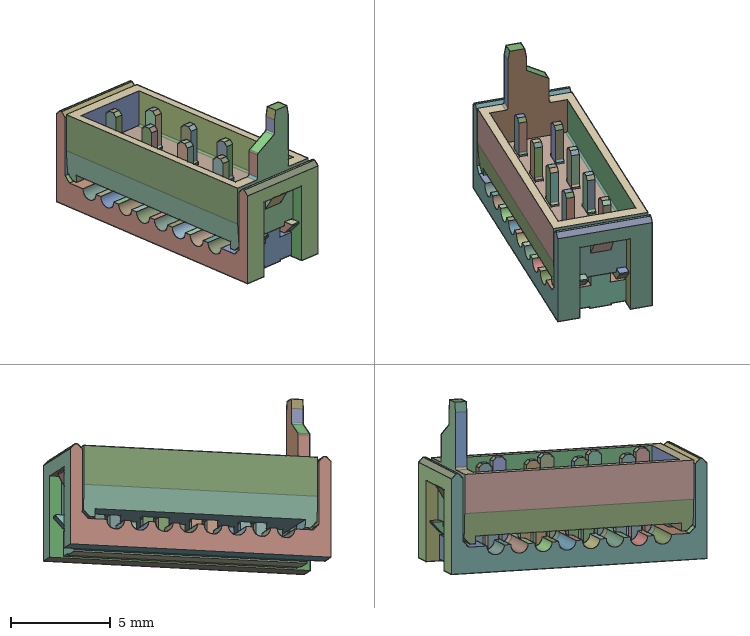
import cadquery as cq
import math

LENGTH = 13.59
WIDTH = 5.0
TOTAL_HEIGHT = 8.5

PIN_COUNT = 8
PIN_SPAN = 8.89
PIN_PITCH = PIN_SPAN / (PIN_COUNT - 1)
ROW_OFFSET = 0.76
PIN_THICKNESS = 0.42
PIN_TOP_Z = 5.26
PIN_CHAMFER = 0.19
SHAFT_WIDTH = 0.7
STEP_WIDTH = 0.91
STEP_HEIGHT = 0.1
BLADE_WIDTH = 1.36
BLADE_SHOULDER_Z = 2.45
BLADE_FLARE = 0.03
BLADE_FLARE_HEIGHT = 0.08
BLADE_BOTTOM_Z = 0.41
BLADE_SLOT_WIDTH = 0.26

BASE_HEIGHT = 5.12
BASE_FLOOR_Z = 1.35
LEG_THICKNESS = 0.63
LEG_CHAMFER = 0.25
CORNER_CHAMFER = 0.31
WINDOW_WIDTH = 2.66
WINDOW_TOP_Z = 4.15
END_RECESS_DEPTH = 0.72
GROOVE_RADIUS = 0.46
TAB_WIDTH = 1.02
FOOT_RIB_WIDTH = 1.13
FOOT_RECESS_HEIGHT = 0.08

HOUSING_LENGTH = 12.18
HOUSING_WIDTH = WIDTH
HOUSING_TOP_Z = 5.07
HOUSING_BOTTOM_Z = 1.47
HOUSING_CHAMFER = 0.33
TAPER_TOP_Z = 3.07
TAPER_INSET = 0.12
CAVITY_LENGTH = 10.95
CAVITY_WIDTH = 4.1
CAVITY_FLOOR_Z = 3.15
WIRE_SPACE_TOP_Z = 1.88
SMALL_RADIUS = 0.1
TONGUE_FOOT_RADIUS = 0.12

TOOTH_TOP_Z = WINDOW_TOP_Z
TOOTH_BOTTOM_Z = 3.25
TOOTH_DEPTH = 0.52
TOOTH_TOP_WIDTH = 1.0
TOOTH_BOTTOM_WIDTH = 1.09
LUG_TOP_Z = 2.09
LUG_DEPTH = TOOTH_DEPTH
LUG_SPACING = 1.65
NOSE_HEIGHT = 0.08

TONGUE_BACK_Y = 1.09
TONGUE_FRONT_Y = -TONGUE_BACK_Y
TONGUE_NECK_Y = 0.11
TONGUE_NECK_Z = 7.2
TONGUE_SHOULDER_Z = 6.5
TONGUE_TIP_Z = 7.99
TONGUE_TIP_INSET = 0.1

HALF_LENGTH = LENGTH / 2
HOUSING_END = HOUSING_LENGTH / 2
CAVITY_END = CAVITY_LENGTH / 2
SELECT_MARGIN = 0.01


def block(x_range, y_range, z_range):
    """Axis-aligned box between pairs of limits."""
    size = [limits[1] - limits[0] for limits in (x_range, y_range, z_range)]
    corner = (x_range[0], y_range[0], z_range[0])
    return cq.Workplane("XY").box(*size, centered=False).translate(corner)


def along_y(points, y_range):
    """Prism of an XZ outline between two Y limits."""
    prism = cq.Workplane("XZ").polyline(points).close().extrude(y_range[0] - y_range[1])
    return prism.translate((0, y_range[0], 0))


def edges_between(low, high):
    """Selector for edges whose centres lie in the box between two corners."""
    low = tuple(value - SELECT_MARGIN for value in low)
    high = tuple(value + SELECT_MARGIN for value in high)
    return cq.selectors.BoxSelector(low, high)


def on_both_ends(shape):
    """The shape together with its mirror image in the YZ plane."""
    return shape.union(shape.mirror("YZ"))


def centred(width):
    """Limits of a span centred on zero."""
    return (-width / 2, width / 2)


def pin_places():
    """Pin centres along X, alternating between the front and the back row."""
    for index in range(PIN_COUNT):
        x = index * PIN_PITCH - PIN_SPAN / 2
        y = -ROW_OFFSET if index % 2 == 0 else ROW_OFFSET
        yield x, y


def make_pin(x, y):
    """Flat contact: chamfered tip, filleted step, and a forked blade at the bottom."""
    shaft = SHAFT_WIDTH / 2
    step = STEP_WIDTH / 2
    blade = BLADE_WIDTH / 2
    shoulder = blade + BLADE_FLARE
    flare_z = WIRE_SPACE_TOP_Z - BLADE_FLARE_HEIGHT
    tip = shaft - PIN_CHAMFER
    step_z = CAVITY_FLOOR_Z + STEP_HEIGHT
    fillet = step - shaft
    middle = fillet * (1 - math.sqrt(0.5))
    pin = (
        cq.Workplane("XZ")
        .moveTo(-tip, PIN_TOP_Z)
        .lineTo(tip, PIN_TOP_Z)
        .lineTo(shaft, PIN_TOP_Z - PIN_CHAMFER)
        .lineTo(shaft, step_z + fillet)
        .threePointArc((shaft + middle, step_z + middle), (step, step_z))
        .lineTo(step, BLADE_SHOULDER_Z)
        .lineTo(shoulder, BLADE_SHOULDER_Z)
        .lineTo(shoulder, WIRE_SPACE_TOP_Z)
        .lineTo(blade, flare_z)
        .lineTo(blade, BLADE_BOTTOM_Z)
        .lineTo(-blade, BLADE_BOTTOM_Z)
        .lineTo(-blade, flare_z)
        .lineTo(-shoulder, WIRE_SPACE_TOP_Z)
        .lineTo(-shoulder, BLADE_SHOULDER_Z)
        .lineTo(-step, BLADE_SHOULDER_Z)
        .lineTo(-step, step_z)
        .threePointArc((-shaft - middle, step_z + middle), (-shaft, step_z + fillet))
        .lineTo(-shaft, PIN_TOP_Z - PIN_CHAMFER)
        .close()
        .extrude(PIN_THICKNESS / 2, both=True)
    )
    slot = block(centred(BLADE_SLOT_WIDTH), centred(PIN_THICKNESS), (BLADE_BOTTOM_Z, WIRE_SPACE_TOP_Z))
    return pin.cut(slot).translate((x, y, 0))


def make_base(pins):
    """U-shaped cover with wire grooves, windowed legs and locating tabs."""
    inner = HALF_LENGTH - LEG_THICKNESS
    half_u = [
        (0, 0),
        (HALF_LENGTH, 0),
        (HALF_LENGTH, BASE_HEIGHT - LEG_CHAMFER),
        (HALF_LENGTH - LEG_CHAMFER, BASE_HEIGHT),
        (inner + LEG_CHAMFER, BASE_HEIGHT),
        (inner, BASE_HEIGHT - LEG_CHAMFER),
        (inner, BASE_FLOOR_Z + CORNER_CHAMFER),
        (inner - CORNER_CHAMFER, BASE_FLOOR_Z),
        (0, BASE_FLOOR_Z),
    ]
    base = on_both_ends(along_y(half_u, centred(WIDTH)))

    recess_end = HALF_LENGTH - END_RECESS_DEPTH
    window = block((recess_end, HALF_LENGTH), centred(WINDOW_WIDTH), (0, WINDOW_TOP_Z))
    sill = block((CAVITY_END, HALF_LENGTH), centred(WINDOW_WIDTH), (BASE_FLOOR_Z, WINDOW_TOP_Z))
    base = base.cut(on_both_ends(window.union(sill)))

    foot_recess = block(centred(LENGTH), centred(WINDOW_WIDTH), (0, FOOT_RECESS_HEIGHT))
    foot_rib = block(centred(LENGTH), centred(FOOT_RIB_WIDTH), (0, FOOT_RECESS_HEIGHT))
    base = base.cut(foot_recess.cut(foot_rib))

    tab = block((CAVITY_END, recess_end), centred(TAB_WIDTH), (BASE_FLOOR_Z, WIRE_SPACE_TOP_Z))
    base = base.union(on_both_ends(tab))

    for x, _ in pin_places():
        groove = cq.Workplane("XZ").center(x, BASE_FLOOR_Z).circle(GROOVE_RADIUS)
        base = base.cut(groove.extrude(WIDTH / 2, both=True))
    for pin in pins:
        base = base.cut(pin)
    return base


def make_tongue():
    """Polarising tongue rising from one end wall, blended into the wall top."""
    side = [
        (TONGUE_FRONT_Y, HOUSING_TOP_Z),
        (TONGUE_FRONT_Y, TONGUE_SHOULDER_Z),
        (TONGUE_NECK_Y, TONGUE_NECK_Z),
        (TONGUE_NECK_Y, TONGUE_TIP_Z),
        (TONGUE_NECK_Y + TONGUE_TIP_INSET, TOTAL_HEIGHT),
        (TONGUE_BACK_Y - TONGUE_TIP_INSET, TOTAL_HEIGHT),
        (TONGUE_BACK_Y, TONGUE_TIP_Z),
        (TONGUE_BACK_Y, HOUSING_TOP_Z),
    ]
    tongue = cq.Workplane("YZ").polyline(side).close().extrude(HOUSING_END - CAVITY_END)
    bends = edges_between(
        (0, TONGUE_FRONT_Y, TONGUE_SHOULDER_Z), (HOUSING_END - CAVITY_END, TONGUE_NECK_Y, TONGUE_NECK_Z)
    )
    tongue = tongue.edges("|X").edges(bends).fillet(SMALL_RADIUS)
    return tongue.translate((CAVITY_END, 0, 0))


def wedge(top_z, bottom_z, depth, y_range):
    """Prism with a flat top and a blunt nose, sloping back to the housing end underneath."""
    outline = [
        (CAVITY_END, top_z),
        (HOUSING_END + depth, top_z),
        (HOUSING_END + depth, top_z - NOSE_HEIGHT),
        (HOUSING_END, bottom_z),
        (CAVITY_END, bottom_z),
    ]
    return along_y(outline, y_range)


def make_end_snaps():
    """Snap tooth and two lugs that stand out from the +X end of the housing."""
    tooth_front = [
        (-TOOTH_TOP_WIDTH / 2, TOOTH_TOP_Z),
        (TOOTH_TOP_WIDTH / 2, TOOTH_TOP_Z),
        (TOOTH_BOTTOM_WIDTH / 2, TOOTH_BOTTOM_Z),
        (-TOOTH_BOTTOM_WIDTH / 2, TOOTH_BOTTOM_Z),
    ]
    flanks = cq.Workplane("YZ").polyline(tooth_front).close().extrude(LENGTH)
    tooth = wedge(TOOTH_TOP_Z, TOOTH_BOTTOM_Z, TOOTH_DEPTH, centred(TOOTH_BOTTOM_WIDTH)).intersect(flanks)
    lugs = wedge(LUG_TOP_Z, HOUSING_BOTTOM_Z, LUG_DEPTH, (LUG_SPACING / 2, WINDOW_WIDTH / 2))
    return tooth.union(lugs).union(lugs.mirror("XZ"))


def make_housing(pins):
    """Open-topped shroud with end snaps, a polarising tongue and a wire space below."""
    half_width = HOUSING_WIDTH / 2
    foot = half_width - TAPER_INSET
    section = [
        (-half_width, HOUSING_TOP_Z),
        (half_width, HOUSING_TOP_Z),
        (half_width, TAPER_TOP_Z),
        (foot, HOUSING_BOTTOM_Z),
        (-foot, HOUSING_BOTTOM_Z),
        (-half_width, TAPER_TOP_Z),
    ]
    housing = cq.Workplane("YZ").polyline(section).close().extrude(HOUSING_END, both=True)
    housing = housing.edges("|Y and <Z").chamfer(HOUSING_CHAMFER)

    cavity = block(centred(CAVITY_LENGTH), centred(CAVITY_WIDTH), (CAVITY_FLOOR_Z, HOUSING_TOP_Z))
    housing = housing.cut(cavity.edges("|X and <Z").fillet(SMALL_RADIUS))

    housing = housing.union(on_both_ends(make_end_snaps()))
    wire_space = block(centred(CAVITY_LENGTH), centred(WIDTH), (0, WIRE_SPACE_TOP_Z))
    tab_space = block(centred(HOUSING_LENGTH), centred(LUG_SPACING), (0, WIRE_SPACE_TOP_Z))
    housing = housing.cut(wire_space).cut(tab_space)

    housing = housing.union(make_tongue())
    foot_corners = edges_between(
        (CAVITY_END, TONGUE_FRONT_Y, HOUSING_TOP_Z), (HOUSING_END, TONGUE_BACK_Y, HOUSING_TOP_Z)
    )
    housing = housing.edges("|X").edges(foot_corners).fillet(TONGUE_FOOT_RADIUS)
    for pin in pins:
        housing = housing.cut(pin)
    return housing


pins = [make_pin(x, y) for x, y in pin_places()]
base = make_base(pins)
housing = make_housing(pins)
result = cq.Compound.makeCompound([base.val(), housing.val(), *[pin.val() for pin in pins]])